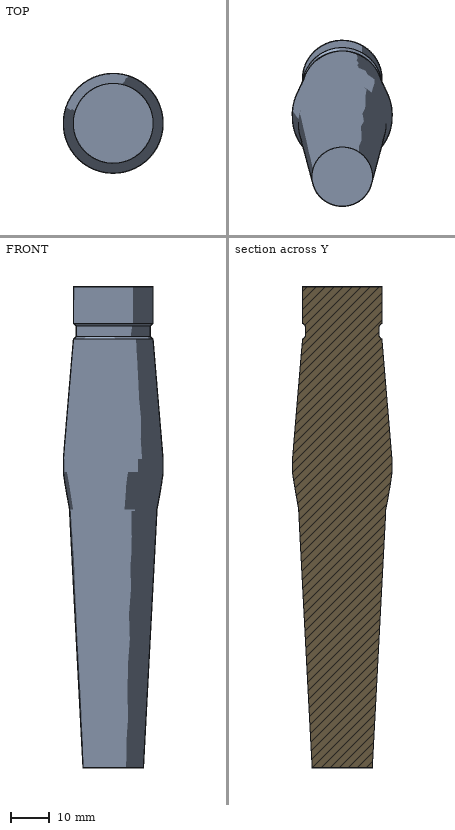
import cadquery as cq

tip_radius = 7.9
collar_radius = 11.4
belly_radius = 13.0
head_radius = 10.4
neck_radius = 9.6

collar_bottom = 66.6
collar_top = 67.1
belly_bottom = 76.8
belly_top = 80.1
shoulder_height = 111.4
head_bottom = 115.5
total_height = 125.0

neck_chamfer = head_radius - neck_radius

flare_bulge = 0.09
flare_middle = (
    (collar_radius + belly_radius) / 2 + flare_bulge,
    (collar_top + belly_bottom) / 2,
)

profile = (
    cq.Workplane("XZ")
    .moveTo(0, 0)
    .lineTo(tip_radius, 0)
    .lineTo(collar_radius, collar_bottom)
    .lineTo(collar_radius, collar_top)
    .threePointArc(flare_middle, (belly_radius, belly_bottom))
    .lineTo(belly_radius, belly_top)
    .lineTo(head_radius, shoulder_height)
    .lineTo(neck_radius, shoulder_height + neck_chamfer)
    .lineTo(neck_radius, head_bottom - neck_chamfer)
    .lineTo(head_radius, head_bottom)
    .lineTo(head_radius, total_height)
    .lineTo(0, total_height)
    .close()
)

result = profile.revolve(360, (0, 0, 0), (0, 1, 0))